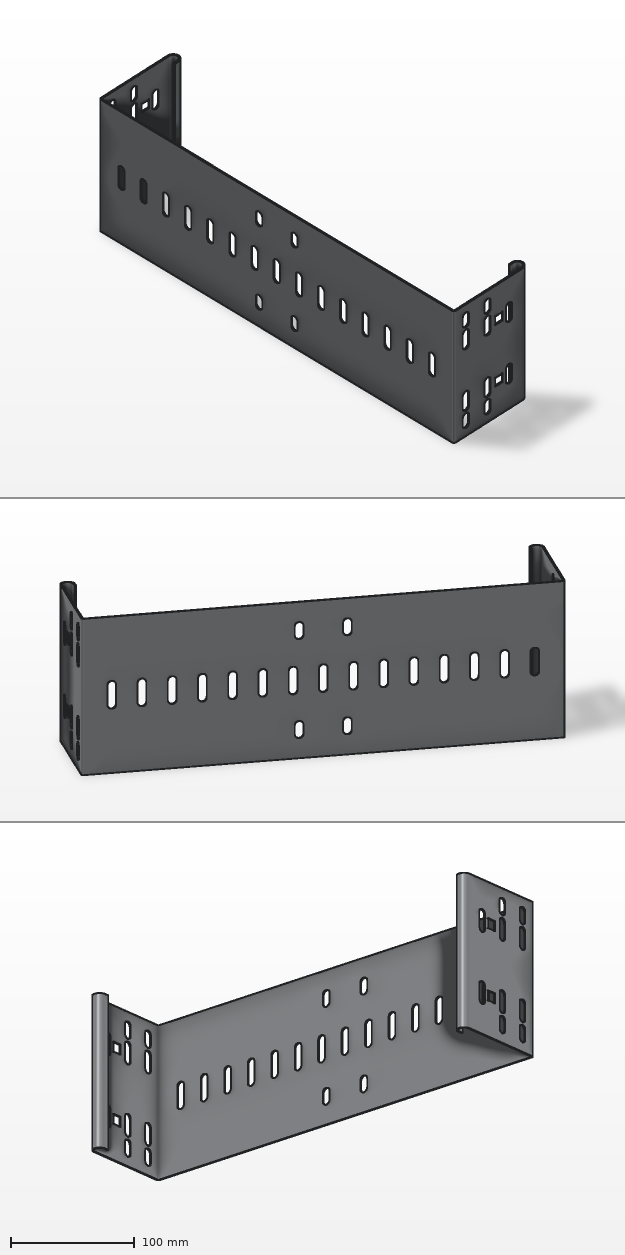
import cadquery as cq

length = 400.0
depth = 85.5
height = 135.0
thickness = 1.4
corner_radius = 2.0
hook_radius = 6.0
hook_drop = 10.0

slot_width = 7.0
upright = 90
base_slot_count = 15
base_slot_span = 350.0
slot_pitch = base_slot_span / (base_slot_count - 1)
base_slot_length = 24.0
small_slot_length = 15.0
small_slot_spacing_x = 40.0
small_slot_spacing_z = 85.5

first_column = 14.0
second_column = first_column + slot_pitch
third_column = second_column + slot_pitch
square_column = 52.5
square_side = 9.0
wall_long_slot_length = 20.0
wall_short_slot_length = 15.0
inner_row_spacing = 63.0
outer_row_spacing = 103.0


def half_channel():
    """Left half of the bent sheet: base, corner bend, wall and rolled edge."""
    wall_x = -length / 2
    inner_hook_radius = hook_radius - thickness
    inner_corner_radius = corner_radius - thickness
    roll_y = depth - hook_radius
    roll_x = wall_x + hook_radius
    free_x = roll_x + hook_radius
    free_y = depth - hook_drop
    profile = (
        cq.Workplane("XY")
        .moveTo(0, 0)
        .lineTo(wall_x + corner_radius, 0)
        .radiusArc((wall_x, corner_radius), corner_radius)
        .lineTo(wall_x, roll_y)
        .threePointArc((roll_x, depth), (free_x, roll_y))
        .lineTo(free_x, free_y)
        .lineTo(free_x - thickness, free_y)
        .lineTo(free_x - thickness, roll_y)
        .threePointArc((roll_x, roll_y + inner_hook_radius), (wall_x + thickness, roll_y))
        .lineTo(wall_x + thickness, corner_radius)
        .radiusArc((wall_x + corner_radius, thickness), -inner_corner_radius)
        .lineTo(0, thickness)
        .close()
    )
    return profile.extrude(height / 2, both=True)


def base_slots(points, slot_length):
    """Upright slot cutters through the base at (x, z) points."""
    return (
        cq.Workplane("XZ")
        .pushPoints(points)
        .slot2D(slot_length, slot_width, upright)
        .extrude(thickness, both=True)
    )


def wall_points(columns, row_spacing):
    """(y, z) hole centres: one symmetric pair of rows in every column."""
    return [(y, side * row_spacing / 2) for y in columns for side in (-1, 1)]


def wall_slots(columns, row_spacing, slot_length):
    """Upright slot cutters through both side walls."""
    return (
        cq.Workplane("YZ")
        .pushPoints(wall_points(columns, row_spacing))
        .slot2D(slot_length, slot_width, upright)
        .extrude(length, both=True)
    )


left_half = half_channel()
result = left_half.union(left_half.mirror("YZ"))

row_points = [(i * slot_pitch - base_slot_span / 2, 0) for i in range(base_slot_count)]
result = result.cut(base_slots(row_points, base_slot_length))

small_points = [
    (side_x * small_slot_spacing_x / 2, side_z * small_slot_spacing_z / 2)
    for side_x in (-1, 1)
    for side_z in (-1, 1)
]
result = result.cut(base_slots(small_points, small_slot_length))

long_columns = (first_column, second_column, third_column)
short_columns = (first_column, second_column)
result = result.cut(wall_slots(long_columns, inner_row_spacing, wall_long_slot_length))
result = result.cut(wall_slots(short_columns, outer_row_spacing, wall_short_slot_length))
square_holes = (
    cq.Workplane("YZ")
    .pushPoints(wall_points((square_column,), inner_row_spacing))
    .rect(square_side, square_side)
    .extrude(length, both=True)
)
result = result.cut(square_holes)